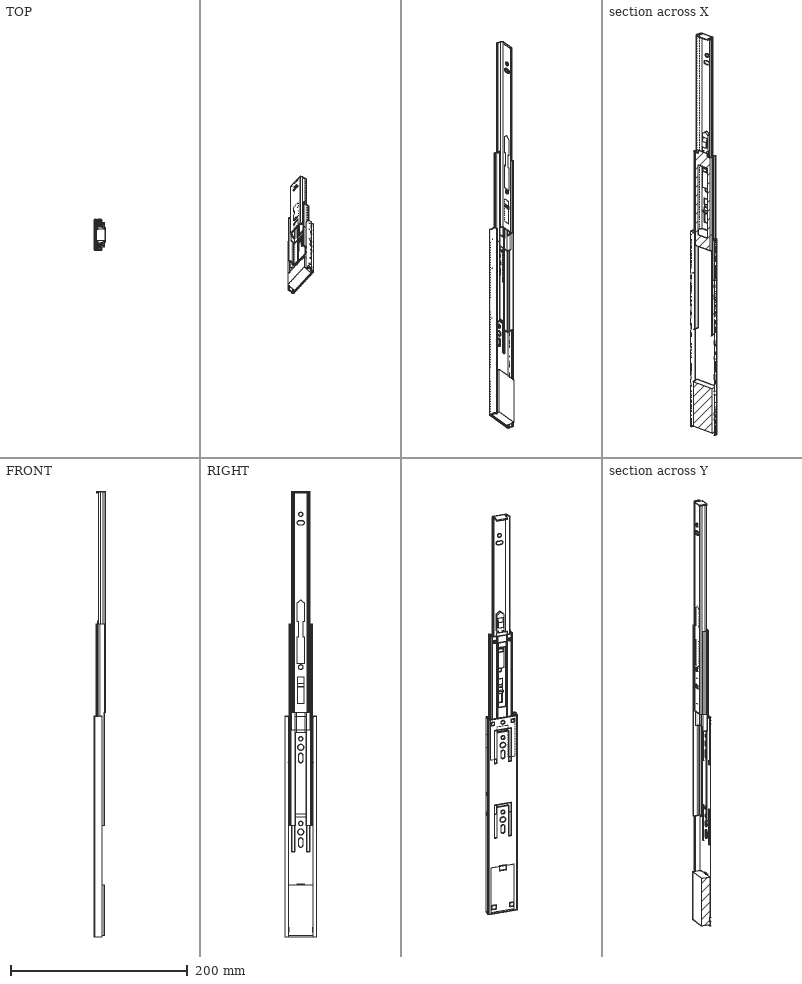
import cadquery as cq

TOTAL_LENGTH = 504.0
RAIL_LENGTH = 250.0
CUT_DEPTH = 5.0
DIAGONAL = 0.5 ** 0.5

OUTER_HALF_WIDTH = 36.0 / 2
OUTER_DEPTH = 9.0
OUTER_WALL = 1.25
OUTER_LIP_Y = 14.0
OUTER_CORNER = 1.5

MID_BOTTOM = 126.0
MID_TOP = 354.5
MID_HALF_WIDTH = 13.0
MID_BACK_X = 2.75
MID_FRONT_X = 11.5
MID_WALL = 1.0
MID_CORNER = 1.5
MID_RIB_HEIGHT = 0.5
MID_RIB_HALF = 5.0
MID_RIB_FOOT = 6.5

INNER_BOTTOM = TOTAL_LENGTH - RAIL_LENGTH
INNER_HALF_WIDTH = 20.5 / 2
INNER_BACK_X = 4.8
INNER_FRONT_X = 12.5
INNER_WALL = 1.0
INNER_WEB_X = INNER_FRONT_X - INNER_WALL
INNER_WEB_HALF = 16.5 / 2
INNER_FLOOR_HALF = 7.0
END_TAB_X = 2.5
END_TAB_HALF = 6.5
END_TAB_THICKNESS = 1.5

TONGUE_PITCH = 96.0
LOWER_HOLE_Z = 119.0
TONGUE_HOLE_ZS = (LOWER_HOLE_Z, LOWER_HOLE_Z + TONGUE_PITCH)
SLIT_WIDTH = 3.0
SLIT_OUTER_HALF = 10.0
SLIT_TOP = 20.0
SLIT_BOTTOM = -22.0
LARGE_HOLE = 6.5
SMALL_HOLE = 4.5
SMALL_HOLE_OFFSET = 9.5
SLOT_OFFSET = -12.0
SLOT_LENGTH = 10.5

STOP_BOTTOM = 1.5
STOP_TOP = 59.0
STOP_HALF_WIDTH = 27.5 / 2

OUTER_CAGE_X = 1.35
OUTER_CAGE_WALL = 0.75
OUTER_CAGE_HALF_WIDTH = 29.5 / 2
OUTER_CAGE_DEPTH = 7.0
OUTER_CAGE_Z = (197.5, 249.0)
OUTER_CAGE_BAR = 10.0
INNER_CAGE_X = 3.9
INNER_CAGE_WALL = 0.5
INNER_CAGE_HALF_WIDTH = 11.0
INNER_CAGE_DEPTH = 9.5
INNER_CAGE_Z = (234.5, 354.0)
INNER_CAGE_BAR = 15.0
INNER_CAGE_TONGUE_TOP = 358.0
CAGE_WINDOW_HALF = 6.5

LEVER_BACK_X = 8.5
LEVER_HALF = 4.0
LEVER_NECK_HALF = 2.25
LEVER_BOTTOM = 309.5
LEVER_NECK_BOTTOM = 339.5
LEVER_NECK_TOP = 357.0
LEVER_SHOULDER = 378.0
LEVER_TIP = 381.5


def box(x_range, y_range, z_range):
    """Solid box between pairs of coordinates."""
    (x0, x1), (y0, y1), (z0, z1) = x_range, y_range, z_range
    return cq.Workplane("XY").box(x1 - x0, y1 - y0, z1 - z0, centered=False).translate((x0, y0, z0))


def rail(half_outline, z_range):
    """Extrude the +Y half of a rail section along Z and join it to its mirror image."""
    bottom, top = z_range
    half = half_outline.close().extrude(top - bottom).translate((0, 0, bottom))
    return half.union(half.mirror("XZ"))


def web_hole(diameter, z, x_start):
    """Round cutter along +X on the symmetry plane."""
    return cq.Workplane("YZ", origin=(x_start, 0, z)).circle(diameter / 2).extrude(CUT_DEPTH)


def web_slot(length, width, z, x_start, angle):
    """Round-ended slot cutter along +X; angle 90 runs along Z and 0 along Y."""
    return cq.Workplane("YZ", origin=(x_start, 0, z)).slot2D(length, width, angle).extrude(CUT_DEPTH)


def web_windows(y_range, z_range, x_start):
    """Mirrored pair of rectangular cutters through a web."""
    x_range = (x_start, x_start + CUT_DEPTH)
    y0, y1 = y_range
    return box(x_range, y_range, z_range).union(box(x_range, (-y1, -y0), z_range))


def tongue_cutter(hole_z):
    """U-shaped slit with the two holes and the slot of one mounting tongue."""
    top = hole_z + SLIT_TOP
    bottom = hole_z + SLIT_BOTTOM
    through = (-CUT_DEPTH / 2, CUT_DEPTH / 2)
    x_start = through[0]
    frame = box(through, (-SLIT_OUTER_HALF, SLIT_OUTER_HALF), (bottom, top))
    tongue_half = SLIT_OUTER_HALF - SLIT_WIDTH
    tongue = box(through, (-tongue_half, tongue_half), (bottom, top - SLIT_WIDTH))
    return (
        frame.cut(tongue)
        .union(web_hole(LARGE_HOLE, hole_z, x_start))
        .union(web_hole(SMALL_HOLE, hole_z + SMALL_HOLE_OFFSET, x_start))
        .union(web_slot(SLOT_LENGTH, SMALL_HOLE, hole_z + SLOT_OFFSET, x_start, 90))
    )


def make_outer_rail():
    corner_y = OUTER_HALF_WIDTH - OUTER_CORNER
    corner_mid = OUTER_CORNER * (1 - DIAGONAL)
    inside_y = OUTER_HALF_WIDTH - OUTER_WALL
    inside_lip_x = OUTER_DEPTH - OUTER_WALL
    groove_x, groove_depth = 3.0, 1.0
    shoulder_x = 4.8
    roll_x = 7.0
    along_x, against_x = (1, 0), (-1, 0)
    half_outline = (
        cq.Workplane("XY")
        .lineTo(0, corner_y)
        .threePointArc((corner_mid, OUTER_HALF_WIDTH - corner_mid), (OUTER_CORNER, OUTER_HALF_WIDTH))
        .spline(
            [
                (groove_x, OUTER_HALF_WIDTH - groove_depth),
                (shoulder_x, OUTER_HALF_WIDTH),
                (roll_x, OUTER_HALF_WIDTH),
                (OUTER_DEPTH, OUTER_LIP_Y),
            ],
            tangents=[along_x, along_x, along_x, along_x, (0, -1)],
            includeCurrent=True,
        )
        .lineTo(inside_lip_x, OUTER_LIP_Y)
        .spline(
            [
                (roll_x - OUTER_WALL / 2, inside_y),
                (shoulder_x, inside_y),
                (groove_x, inside_y - groove_depth),
                (OUTER_WALL, corner_y),
            ],
            tangents=[(0, 1), against_x, against_x, against_x, against_x],
            includeCurrent=True,
        )
        .lineTo(OUTER_WALL, 0)
    )
    body = rail(half_outline, (0, RAIL_LENGTH))
    for hole_z in TONGUE_HOLE_ZS:
        body = body.cut(tongue_cutter(hole_z))

    x_start = -CUT_DEPTH / 2
    end_hole_z = 244.0
    upper_window_y, upper_window_z = (10.0, 14.0), (242.0, 246.0)
    lower_window_y, lower_window_z = (8.0, 13.0), (5.5, 10.5)
    body = body.cut(web_hole(SMALL_HOLE, end_hole_z, x_start))
    body = body.cut(web_windows(upper_window_y, upper_window_z, x_start))
    body = body.cut(web_windows(lower_window_y, lower_window_z, x_start))
    stop_window_half = 4.0
    stop_window_z = (54.0, 60.0)
    stop_window = box((x_start, -x_start), (-stop_window_half, stop_window_half), stop_window_z)
    return body.cut(stop_window)


def make_middle_rail():
    rib_x = MID_BACK_X - MID_RIB_HEIGHT
    corner_y = MID_HALF_WIDTH - MID_CORNER
    corner_mid = MID_CORNER * (1 - DIAGONAL)
    inside_x = MID_BACK_X + MID_WALL
    inside_y = MID_HALF_WIDTH - MID_WALL
    step_x, step_end_x, step = 5.5, 7.0, 0.5
    groove_x = (step_end_x + MID_FRONT_X) / 2
    groove_depth = 0.85
    half_outline = (
        cq.Workplane("XY")
        .moveTo(rib_x, 0)
        .lineTo(rib_x, MID_RIB_HALF)
        .lineTo(MID_BACK_X, MID_RIB_FOOT)
        .lineTo(MID_BACK_X, corner_y)
        .threePointArc(
            (MID_BACK_X + corner_mid, MID_HALF_WIDTH - corner_mid),
            (MID_BACK_X + MID_CORNER, MID_HALF_WIDTH),
        )
        .lineTo(step_x, MID_HALF_WIDTH)
        .lineTo(step_end_x, MID_HALF_WIDTH - step)
        .threePointArc((groove_x, MID_HALF_WIDTH - groove_depth), (MID_FRONT_X, MID_HALF_WIDTH))
        .lineTo(MID_FRONT_X, inside_y)
        .threePointArc((groove_x, inside_y - groove_depth), (step_end_x, inside_y - step))
        .lineTo(step_x, inside_y)
        .lineTo(inside_x, inside_y)
        .lineTo(inside_x, MID_RIB_FOOT)
        .lineTo(rib_x + MID_WALL, MID_RIB_HALF)
        .lineTo(rib_x + MID_WALL, 0)
    )
    body = rail(half_outline, (MID_BOTTOM, MID_TOP))

    window_half = 4.8
    window_bottom, window_top = 262.5, 345.5
    opening_half = 6.0
    opening_top = 231.5
    cut_x = (0, CUT_DEPTH)
    window = box(cut_x, (-window_half, window_half), (window_bottom, window_top))
    window = window.edges("|X").edges("<Z").fillet(window_half / 2)
    opening = box(cut_x, (-opening_half, opening_half), (MID_BOTTOM, opening_top))
    end_window_y, end_window_z = (8.0, 10.5), (345.5, 349.5)
    end_windows = web_windows(end_window_y, end_window_z, cut_x[0])
    return body.cut(window).cut(opening).cut(end_windows)


def make_inner_rail():
    mouth_x, waist_x = 7.0, 10.0
    waist_y = 9.5
    groove_x, groove_y = 8.5, 9.5
    half_outline = (
        cq.Workplane("XY")
        .moveTo(INNER_FRONT_X, 0)
        .lineTo(INNER_FRONT_X, INNER_WEB_HALF)
        .lineTo(waist_x, waist_y)
        .threePointArc((groove_x, groove_y), (mouth_x, INNER_HALF_WIDTH))
        .lineTo(INNER_BACK_X, INNER_HALF_WIDTH)
        .lineTo(INNER_BACK_X, INNER_HALF_WIDTH - INNER_WALL)
        .threePointArc((groove_x, groove_y - INNER_WALL), (INNER_WEB_X, INNER_FLOOR_HALF))
        .lineTo(INNER_WEB_X, 0)
    )
    body = rail(half_outline, (INNER_BOTTOM, TOTAL_LENGTH))

    end_tab = box(
        (END_TAB_X, INNER_FRONT_X),
        (-END_TAB_HALF, END_TAB_HALF),
        (TOTAL_LENGTH - END_TAB_THICKNESS, TOTAL_LENGTH),
    )
    body = body.union(end_tab)

    x_start = INNER_WEB_X - CUT_DEPTH / 2
    upper_hole_z, cross_slot_z, lower_hole_z = 478.5, 468.5, 305.5
    cross_slot_length = 8.0
    lower_hole = 5.0
    body = body.cut(web_hole(SMALL_HOLE, upper_hole_z, x_start))
    body = body.cut(web_slot(cross_slot_length, SMALL_HOLE, cross_slot_z, x_start, 0))
    body = body.cut(web_hole(lower_hole, lower_hole_z, x_start))

    catch_half = 3.5
    catch_z = (264.0, 294.5)
    stem_half = 2.25
    window_z = (283.0, 287.0)
    ramp_top, ramp_bottom = 279.5, 275.5
    ramp_x = 8.0
    step = 0.5
    plate_x = INNER_WEB_X - step
    plate = box((plate_x, INNER_WEB_X), (-catch_half, catch_half), catch_z)
    stem = box((plate_x - step, plate_x), (-stem_half, stem_half), (catch_z[0], ramp_bottom))
    ramp = (
        cq.Workplane("XZ", origin=(0, catch_half, 0))
        .polyline([(plate_x, ramp_top), (ramp_x, ramp_top), (plate_x, ramp_bottom)])
        .close()
        .extrude(2 * catch_half)
    )
    window = box((x_start, x_start + CUT_DEPTH), (-catch_half, catch_half), window_z)
    return body.union(plate).union(stem).union(ramp).cut(window)


def make_cage(x, wall, half_width, depth, z_range, bar):
    """U-shaped ball cage with a window between its two crossbars."""
    bottom, top = z_range
    body = box((x, depth), (-half_width, half_width), z_range)
    hollow = box((x + wall, depth), (wall - half_width, half_width - wall), z_range)
    window = box((x, depth), (-CAGE_WINDOW_HALF, CAGE_WINDOW_HALF), (bottom + bar, top - bar))
    return body.cut(hollow).cut(window)


def make_outer_cage():
    cage = make_cage(
        OUTER_CAGE_X, OUTER_CAGE_WALL, OUTER_CAGE_HALF_WIDTH, OUTER_CAGE_DEPTH, OUTER_CAGE_Z, OUTER_CAGE_BAR
    )
    bottom = OUTER_CAGE_Z[0]
    gap = box(
        (OUTER_CAGE_X, OUTER_CAGE_DEPTH),
        (-CAGE_WINDOW_HALF, CAGE_WINDOW_HALF),
        (bottom, bottom + OUTER_CAGE_BAR),
    )
    return cage.cut(gap)


def make_inner_cage():
    cage = make_cage(
        INNER_CAGE_X, INNER_CAGE_WALL, INNER_CAGE_HALF_WIDTH, INNER_CAGE_DEPTH, INNER_CAGE_Z, INNER_CAGE_BAR
    )
    tongue = box(
        (INNER_CAGE_X, INNER_CAGE_X + INNER_CAGE_WALL),
        (-CAGE_WINDOW_HALF, CAGE_WINDOW_HALF),
        (INNER_CAGE_Z[1], INNER_CAGE_TONGUE_TOP),
    )
    return cage.union(tongue)


def make_lever():
    half_outline = [
        (LEVER_HALF, LEVER_BOTTOM),
        (LEVER_HALF, LEVER_NECK_BOTTOM),
        (LEVER_NECK_HALF, LEVER_NECK_BOTTOM),
        (LEVER_NECK_HALF, LEVER_NECK_TOP),
        (LEVER_HALF, LEVER_NECK_TOP),
        (LEVER_HALF, LEVER_SHOULDER),
    ]
    mirrored = [(-y, z) for y, z in reversed(half_outline)]
    outline = half_outline + [(0, LEVER_TIP)] + mirrored
    body = cq.Workplane("YZ", origin=(LEVER_BACK_X, 0, 0)).polyline(outline).close()
    body = body.extrude(INNER_WEB_X - LEVER_BACK_X)

    grip_half = 3.0
    grip_height = 2.0
    grip_x = LEVER_BACK_X - grip_height
    grip_bottom, slope_bottom, slope_top = 362.5, 369.5, 374.0
    grip = (
        cq.Workplane("XZ", origin=(0, grip_half, 0))
        .polyline(
            [
                (LEVER_BACK_X, grip_bottom),
                (grip_x, grip_bottom),
                (grip_x, slope_bottom),
                (LEVER_BACK_X, slope_top),
            ]
        )
        .close()
        .extrude(2 * grip_half)
    )
    rib_height = 1.0
    rib_z = (330.5, 334.5)
    rib = box((LEVER_BACK_X - rib_height, LEVER_BACK_X), (-grip_half, grip_half), rib_z)
    return body.union(grip).union(rib)


outer_rail = make_outer_rail()
middle_rail = make_middle_rail()
inner_rail = make_inner_rail()
outer_cage = make_outer_cage()
inner_cage = make_inner_cage()
lever = make_lever()
stop_block = box((OUTER_WALL, MID_FRONT_X), (-STOP_HALF_WIDTH, STOP_HALF_WIDTH), (STOP_BOTTOM, STOP_TOP))

bodies = [outer_rail, middle_rail, inner_rail, outer_cage, inner_cage, lever, stop_block]
result = cq.Compound.makeCompound([body.solids().val() for body in bodies])